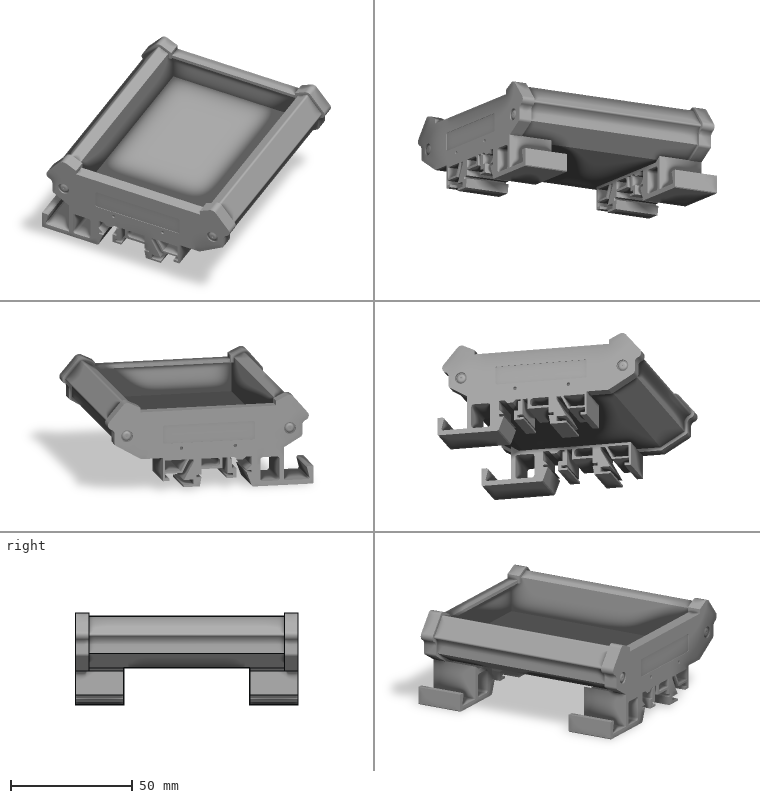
import cadquery as cq
import math

length = 92.0
half_length = length / 2

nose_x = 42.5
nose_z = 29.0
nose_round = 2.0
side_x = 39.7
side_top_z = 25.0
side_bottom_z = 20.5
side_round = 1.3
shoulder_x = 28.7
shoulder_z = 35.7
peak_x = 34.9
peak_z = 38.6
peak_round = 2.3
mid_top_z = 33.9
flat_x = 28.5
flat_z = 14.0

cap_depth = 5.7
mid_rim_depth = 5.0
end_wall = 1.1
lip = 1.4

floor_z = 19.3

label_x0, label_x1 = -19.7, 19.2
label_z0, label_z1 = 20.1, 27.8
label_depth = 0.2
label_round = 0.7
pin_hole_diameter = 1.5
pin_hole_x = 11.4
pin_hole_z = 17.8

screw_x = 34.5
screw_z = 24.0
counterbore_diameter = 5.0
counterbore_depth = 0.7
head_diameter = 4.05
head_top_diameter = 1.8
head_height = 0.6
head_round_mid = (1.7, 0.41)
socket_diameter = 0.55
socket_depth = 0.3
shaft_diameter = 2.2
shaft_length = 9.2

foot_depth = 20.1
rail_window_x0, rail_window_x1 = -30.1, -22.0
rail_window_top_z = 12.2
clip_window_x0 = -5.0
clip_window_bottom_z = 9.5
foot_left_x = -31.9
hook_x = -44.5
base_top_z = 2.0
seat_x = -18.3
clip_tip_z = 4.1
slot_top_z = 6.2
clip_left_x = 2.9
clips_right_x = 19.2
web_z = 12.9
window_round = 1.1
clip_window_round = 1.5
base_chamfer = 0.4


def extrude_from_end(sketch, start, depth):
    """Solid from an XZ sketch, reaching from `start` to `depth` behind the front end face."""
    return sketch.extrude(-(depth - start)).translate((0, start - half_length, 0))


def polygon(points):
    return cq.Workplane("XZ").polyline(points).close()


def box(x0, x1, y0, y1, z0, z1):
    """Box with Y counted from the front end face."""
    return cq.Workplane("XY").box(x1 - x0, y1 - y0, z1 - z0, centered=False).translate(
        (x0, y0 - half_length, z0)
    )


def round_hole(x, z, diameter, depth):
    """Cutter for a hole along Y that starts at the front end face."""
    return extrude_from_end(cq.Workplane("XZ").center(x, z).circle(diameter / 2), 0, depth)


def round_at(solid, x, z, radius):
    """Round the edge along Y at the given place."""
    near = 0.1
    edge = cq.selectors.BoxSelector((x - near, -length, z - near), (x + near, length, z + near))
    return solid.edges(edge).fillet(radius)


def on_circle(center, radius, angle):
    return (center[0] + radius * math.cos(angle), center[1] + radius * math.sin(angle))


def cap_half():
    """Right half of the end cap: the nose is one arc that runs on into the hollow below it."""
    nose_center = (nose_x - nose_round, nose_z)

    inset = side_x - nose_center[0]
    drop = nose_z - side_top_z
    hollow_round = (inset**2 + drop**2 - nose_round**2) / (2 * (nose_round - inset))
    hollow_center = (side_x + hollow_round, side_top_z)
    meeting_angle = math.atan2(-drop, hollow_center[0] - nose_center[0])

    to_peak = (peak_x - nose_center[0], peak_z - nose_z)
    slope_angle = math.atan2(to_peak[1], to_peak[0]) - math.acos(nose_round / math.hypot(*to_peak))

    hollow_middle_angle = math.pi + meeting_angle / 2
    return (
        cq.Workplane("XZ")
        .moveTo(0, flat_z)
        .lineTo(flat_x, flat_z)
        .lineTo(side_x, side_bottom_z)
        .lineTo(side_x, side_top_z)
        .threePointArc(
            on_circle(hollow_center, hollow_round, hollow_middle_angle),
            on_circle(nose_center, nose_round, meeting_angle),
        )
        .threePointArc(
            on_circle(nose_center, nose_round, (meeting_angle + slope_angle) / 2),
            on_circle(nose_center, nose_round, slope_angle),
        )
        .lineTo(peak_x, peak_z)
        .lineTo(shoulder_x, shoulder_z)
        .lineTo(shoulder_x, mid_top_z)
        .lineTo(0, mid_top_z)
        .close()
    )


def end_cap_block():
    """Solid end cap without its foot or pocket, with the rounded outline."""
    half = extrude_from_end(cap_half(), 0, cap_depth)
    half = round_at(half, side_x, side_bottom_z, side_round)
    half = round_at(half, peak_x, peak_z, peak_round)
    return half.union(half.mirror("YZ")).clean()


def tray_block(start, depth):
    """Block with the cap outline moved inward by the lip thickness."""
    outline = end_cap_block().faces("<Y").wires().val()
    inner = outline.offset2D(-lip, "intersection")[0]
    block = cq.Workplane(cq.Solid.extrudeLinear(inner, [], cq.Vector(0, depth - start, 0)))
    return block.translate((0, start, 0))


def foot_outline():
    """Rail foot on the left, then the spring clips towards the right."""
    points = [
        (clips_right_x, flat_z),
        (-flat_x, flat_z),
        (foot_left_x, 16.1),
        (foot_left_x, base_top_z),
        (-42.3, base_top_z),
        (-42.8, 2.6),
        (-41.7, 7.1),
        (-42.1, 7.5),
        (hook_x, 7.5),
        (hook_x, 0),
        (-18.5, 0),
        (-16.2, 6.1),
        (seat_x, 6.1),
        (seat_x, 7.1),
        (-16.2, 7.1),
        (seat_x, 9.1),
        (seat_x, web_z),
        (-15.9, web_z),
        (-14.6, 11.7),
        (-12.4, 11.7),
        (-11.0, web_z),
        (-9.1, web_z),
        (-9.1, 12.1),
        (-10.0, 12.1),
        (-10.0, 8.1),
        (-11.9, 8.1),
        (-11.9, clip_tip_z),
        (-7.7, clip_tip_z),
        (-7.7, 5.1),
        (-10.5, 5.1),
        (-10.5, slot_top_z),
        (-8.1, slot_top_z),
        (-8.1, web_z),
        (-6.0, web_z),
        (-6.0, 8.5),
        (clip_left_x, 8.5),
        (clip_left_x, slot_top_z),
        (5.1, slot_top_z),
        (5.1, 5.0),
        (clip_left_x, 5.0),
        (3.7, 1.2),
        (10.6, 1.2),
        (10.6, 2.1),
        (6.3, 2.1),
        (6.3, 4.2),
        (10.4, 4.2),
        (6.3, 11.8),
        (6.35, 12.8),
        (8.2, 12.8),
        (11.1, 7.3),
        (18.5, 7.3),
        (18.5, 5.2),
        (16.6, 5.2),
        (16.6, clip_tip_z),
        (clips_right_x, clip_tip_z),
    ]
    return polygon(points)


def rail_foot():
    foot = extrude_from_end(foot_outline(), 0, foot_depth)
    foot = foot.faces("<Z").edges("|Y").chamfer(base_chamfer)

    rail_window = box(rail_window_x0, rail_window_x1, 0, foot_depth, base_top_z, rail_window_top_z)
    rail_window = rail_window.edges("|Y").fillet(window_round)
    clip_window = box(clip_window_x0, clip_left_x, 0, foot_depth, clip_window_bottom_z, web_z)
    clip_window = clip_window.edges("|Y and <X").fillet(clip_window_round)
    sloping_window = extrude_from_end(
        polygon([(9.1, web_z), (11.7, 8.1), (18.3, 8.1), (18.3, web_z)]), 0, foot_depth
    )
    return foot.cut(rail_window).cut(clip_window).cut(sloping_window)


def label_recess():
    recess = box(label_x0, label_x1, 0, label_depth, label_z0, label_z1)
    return recess.edges("|Y").fillet(label_round)


def end_cap():
    cap = end_cap_block()
    cap = cap.cut(tray_block(end_wall, cap_depth))
    cap = cap.cut(box(-shoulder_x, shoulder_x, mid_rim_depth, cap_depth, floor_z, peak_z))
    cap = cap.union(rail_foot())
    cap = cap.cut(label_recess())
    for side in (-1, 1):
        cap = cap.cut(round_hole(side * pin_hole_x, pin_hole_z, pin_hole_diameter, end_wall))
        cap = cap.cut(round_hole(side * screw_x, screw_z, counterbore_diameter, counterbore_depth))
        cap = cap.cut(round_hole(side * screw_x, screw_z, shaft_diameter, end_wall))
    return cap


def tray():
    body = tray_block(end_wall, length - end_wall)
    wall_x = shoulder_x + lip
    body = body.cut(box(-wall_x, wall_x, 0, length, floor_z, peak_z))
    for side in (-1, 1):
        hole = round_hole(side * screw_x, screw_z, shaft_diameter, counterbore_depth + shaft_length)
        body = body.cut(hole).cut(hole.mirror("XZ"))
    return body


def screw():
    """Domed screw on the Y axis: head seat at y = 0, shaft towards +Y."""
    profile = (
        cq.Workplane("XY")
        .moveTo(0, shaft_length)
        .lineTo(shaft_diameter / 2, shaft_length)
        .lineTo(shaft_diameter / 2, 0)
        .lineTo(head_diameter / 2, 0)
        .threePointArc((head_round_mid[0], -head_round_mid[1]), (head_top_diameter / 2, -head_height))
        .lineTo(socket_diameter / 2, -head_height)
        .lineTo(socket_diameter / 2, socket_depth - head_height)
        .lineTo(0, socket_depth - head_height)
        .close()
    )
    return profile.revolve(360, (0, 0, 0), (0, 1, 0))


def screws():
    seat_y = counterbore_depth - half_length
    placed = []
    for side in (-1, 1):
        front = screw().translate((side * screw_x, seat_y, screw_z))
        placed += [front, front.mirror("XZ")]
    return placed


front_cap = end_cap()
back_cap = front_cap.mirror("XZ")
bodies = [front_cap, back_cap, tray(), *screws()]
result = cq.Compound.makeCompound([body.solids().val() for body in bodies])